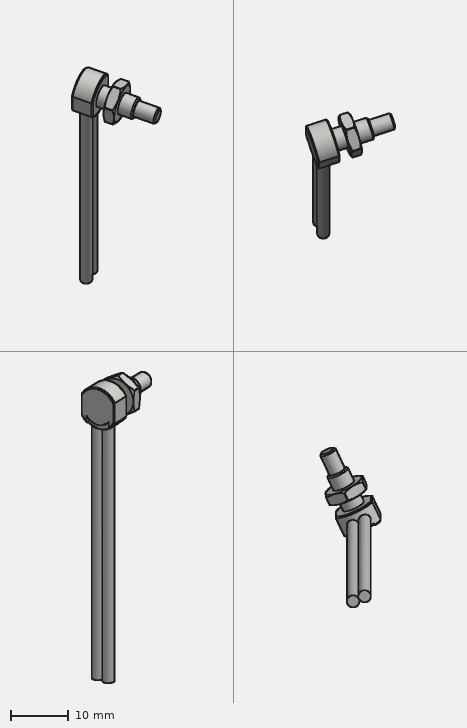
import cadquery as cq
import math

overall_length = 15.0
overall_height = 56.55

head_diameter = 8.05
head_length = 4.0
width_across_flats = 7.0
head_chamfer = 0.2
plug_diameter = 6.0

notch_width = 4.65
notch_depth = 0.5

cable_diameter = 2.2
cable_center_x = 1.75

stem_diameter = 4.0
stem_end_x = 10.9
tip_diameter = 3.0
end_chamfer = 0.3

nut_start_x = 6.05
nut_thickness = 2.1
nut_corner_diameter = width_across_flats / math.cos(math.pi / 6)
nut_face_diameter = 6.9
nut_chamfer_angle = math.radians(30)


def rod(diameter, start_x, end_x):
    """Round bar along the X axis."""
    return cq.Workplane("YZ").workplane(offset=start_x).circle(diameter / 2).extrude(end_x - start_x)


def make_head():
    flats = cq.Workplane("YZ").rect(width_across_flats, head_diameter).extrude(head_length)
    head = rod(head_diameter, 0, head_length).intersect(flats)
    head = head.faces("<X or >X").chamfer(head_chamfer)
    notch = (
        cq.Workplane("YZ")
        .center(0, -head_diameter / 4)
        .rect(notch_width, head_diameter / 2)
        .extrude(notch_depth)
    )
    return head.cut(notch.cut(rod(plug_diameter, 0, notch_depth)))


def make_cables():
    bottom_z = head_diameter / 2 - overall_height
    return (
        cq.Workplane("XY")
        .pushPoints([(cable_center_x, side * cable_diameter / 2) for side in (-1, 1)])
        .circle(cable_diameter / 2)
        .extrude(bottom_z)
    )


def make_stem():
    stem = rod(stem_diameter, head_length, stem_end_x).faces(">X").chamfer(end_chamfer)
    tip = rod(tip_diameter, head_length, overall_length).faces(">X").chamfer(end_chamfer)
    return stem.union(tip)


def make_nut():
    hexagon = (
        cq.Workplane("YZ")
        .workplane(offset=nut_start_x)
        .transformed(rotate=(0, 0, 90))
        .polygon(6, nut_corner_diameter)
        .extrude(nut_thickness)
    )
    face_radius = nut_face_diameter / 2
    corner_radius = head_diameter / 2
    bevel_depth = (corner_radius - face_radius) * math.tan(nut_chamfer_angle)
    nut_end_x = nut_start_x + nut_thickness
    envelope = (
        cq.Workplane("XY")
        .polyline([
            (nut_start_x, 0),
            (nut_start_x, face_radius),
            (nut_start_x + bevel_depth, corner_radius),
            (nut_end_x - bevel_depth, corner_radius),
            (nut_end_x, face_radius),
            (nut_end_x, 0),
        ])
        .close()
        .revolve(360, (0, 0, 0), (1, 0, 0))
    )
    return hexagon.intersect(envelope)


result = make_head().union(make_cables()).union(make_stem()).union(make_nut())